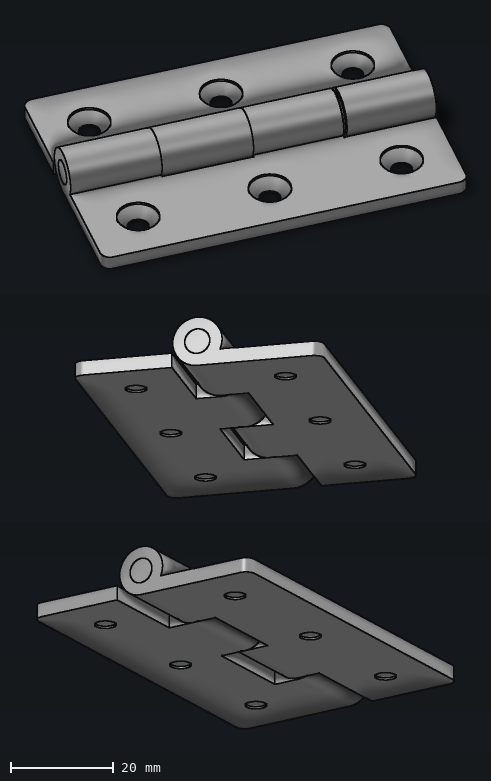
import cadquery as cq

length = 75.0
width = 50.0
barrel_diameter = 10.0
barrel_radius = barrel_diameter / 2
leaf_thickness = 3.0
corner_radius = 2.0
half_length = length / 2
half_width = width / 2

pin_diameter = 5.0
washer_diameter = 9.0
washer_thickness = 0.5

left_leaf_inner_edge = 5.55
right_leaf_inner_edge = 5.1

quarter = length / 4
washer_play = 0.15
washer_front = quarter - washer_thickness / 2
rear_left_start = washer_front + washer_thickness + washer_play
left_knuckles = [(-quarter, 0), (rear_left_start, half_length)]
right_knuckles = [(-half_length, -quarter), (0, washer_front)]

screw_hole_diameter = 4.2
screw_head_diameter = 8.4
screw_head_angle = 90.0
screw_mouth_depth = 0.45
screw_offset = 15.0
screw_pitch = 27.0


def rod(diameter, start, end):
    """Round bar on the pin axis, between two Y positions."""
    return (
        cq.Workplane("XZ", origin=(0, start, barrel_radius))
        .circle(diameter / 2)
        .extrude(start - end)
    )


def block(x_start, x_end, y_start, y_end):
    """Flat slab of leaf thickness standing on Z = 0."""
    return cq.Workplane("XY").box(
        x_end - x_start, y_end - y_start, leaf_thickness, centered=False
    ).translate((x_start, y_start, 0))


def cut_screw_holes(leaf):
    """Three countersunk holes in a row along the leaf."""
    centers = [(screw_offset, row * screw_pitch) for row in (-1, 0, 1)]
    mouths = (
        cq.Workplane("XY", origin=(0, 0, leaf_thickness))
        .pushPoints(centers)
        .circle(screw_head_diameter / 2)
        .extrude(-screw_mouth_depth)
    )
    mouth_floor = cq.Workplane("XY", origin=(0, 0, leaf_thickness - screw_mouth_depth))
    return (
        leaf.cut(mouths)
        .copyWorkplane(mouth_floor)
        .pushPoints(centers)
        .cskHole(screw_hole_diameter, screw_head_diameter, screw_head_angle)
    )


def make_leaf(inner_edge, knuckles):
    """Leaf on the +X side: plate, knuckles tangent to its underside, bore and screw holes."""
    leaf = block(inner_edge, half_width, -half_length, half_length)
    leaf = leaf.edges("|Z and >X").fillet(corner_radius)
    for start, end in knuckles:
        web = block(0, inner_edge, start, end)
        leaf = leaf.union(web).union(rod(barrel_diameter, start, end))
    leaf = leaf.cut(rod(pin_diameter, -half_length, half_length))
    return cut_screw_holes(leaf)


right_leaf = make_leaf(right_leaf_inner_edge, right_knuckles)

left_leaf = make_leaf(left_leaf_inner_edge, left_knuckles).mirror("YZ")

pin = rod(pin_diameter, -half_length, half_length)

washer_rear = washer_front + washer_thickness
washer = rod(washer_diameter, washer_front, washer_rear).cut(
    rod(pin_diameter, washer_front, washer_rear)
)

bodies = [right_leaf, left_leaf, pin, washer]
result = cq.Compound.makeCompound([body.solids().val() for body in bodies])